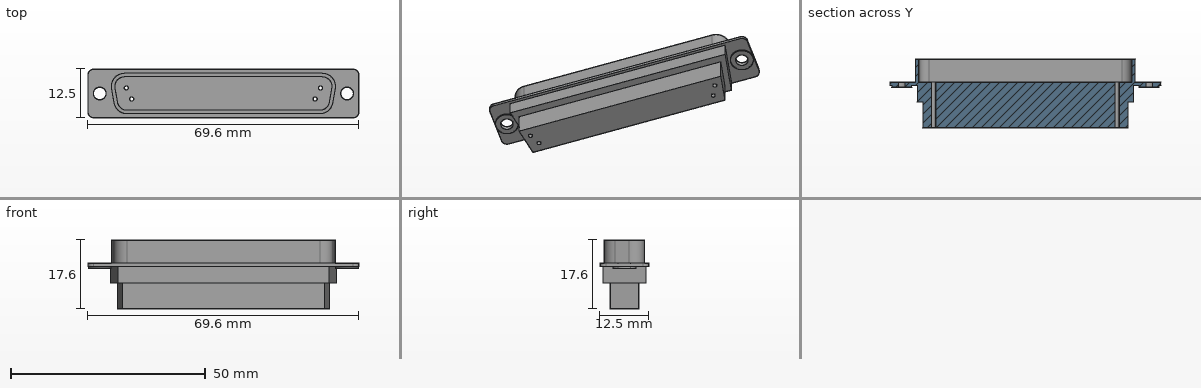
import cadquery as cq
import math

side_angle = math.radians(10)

flange_length = 69.6
flange_width = 12.5
flange_thickness = 0.9
flange_corner_radius = 1.5

shell_half_length = 28.5
shell_width = 10.4
shell_height = 5.9
shell_wall = 0.9
shell_corner_radius = 3.4

body_half_length = 28.05
body_width = 11.1
body_bottom = -5.1

base_half_length = 26.6
base_width = 7.4
total_height = 17.6
base_bottom = shell_height - total_height

mount_hole_spacing = 63.5
mount_hole_diameter = 3.2
collar_diameter = 5.9
collar_bottom = -1.3

pin_pitch = 2.77
pin_row_spacing = 2.84
pin_hole_diameter = 1.0
wide_row_pins = 19
narrow_row_pins = 18


def d_prism(half_length, width, bottom, top):
    """Prism with a trapezoid outline, longer on its +Y side."""
    half_width = width / 2
    lean = half_width * math.tan(side_angle)
    wide = half_length + lean
    narrow = half_length - lean
    outline = [(-wide, half_width), (wide, half_width), (narrow, -half_width), (-narrow, -half_width)]
    plane = cq.Workplane("XY").workplane(offset=bottom)
    return plane.polyline(outline).close().extrude(top - bottom)


def disc_pair(diameter, bottom, top):
    """Cylinders centred on the two mounting positions."""
    half_spacing = mount_hole_spacing / 2
    centres = [(-half_spacing, 0), (half_spacing, 0)]
    plane = cq.Workplane("XY").workplane(offset=bottom)
    return plane.pushPoints(centres).circle(diameter / 2).extrude(top - bottom)


def make_flange():
    plate = cq.Workplane("XY").rect(flange_length, flange_width).extrude(-flange_thickness)
    return plate.edges("|Z").fillet(flange_corner_radius)


def make_shell():
    """Open D-shaped collar with a constant wall thickness."""
    outer = d_prism(shell_half_length, shell_width, 0, shell_height)
    outer = outer.edges("|Z").fillet(shell_corner_radius)
    inner_half_length = shell_half_length - shell_wall / math.cos(side_angle)
    inner = d_prism(inner_half_length, shell_width - 2 * shell_wall, 0, shell_height)
    inner = inner.edges("|Z").fillet(shell_corner_radius - shell_wall)
    return outer.cut(inner)


def make_pin_holes():
    """Through holes at the two end positions of each pin row."""
    wide_x = (wide_row_pins - 1) / 2 * pin_pitch
    narrow_x = (narrow_row_pins - 1) / 2 * pin_pitch
    row_y = pin_row_spacing / 2
    centres = []
    for side in (-1, 1):
        centres.append((side * wide_x, row_y))
        centres.append((side * narrow_x, -row_y))
    plane = cq.Workplane("XY").workplane(offset=base_bottom)
    return plane.pushPoints(centres).circle(pin_hole_diameter / 2).extrude(-base_bottom)


body = d_prism(body_half_length, body_width, body_bottom, -flange_thickness)
base = d_prism(base_half_length, base_width, base_bottom, body_bottom)
collars = disc_pair(collar_diameter, collar_bottom, -flange_thickness)
mount_holes = disc_pair(mount_hole_diameter, collar_bottom, 0)

result = make_flange().union(body).union(base).union(collars).union(make_shell())
result = result.cut(mount_holes).cut(make_pin_holes())